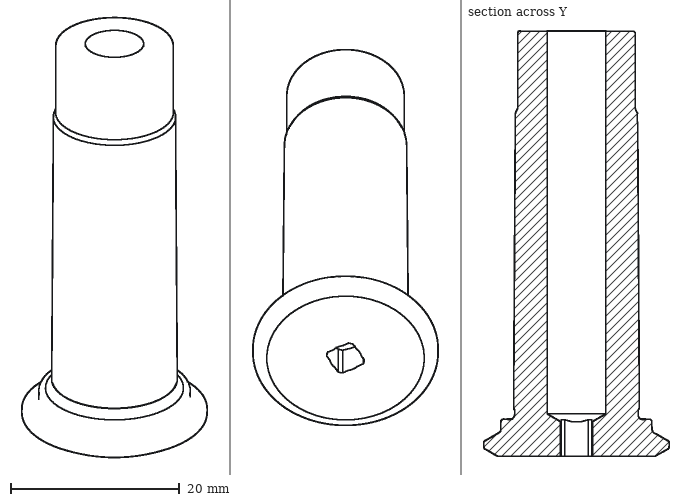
import cadquery as cq
import math

total_height = 50.5
cone_slope = math.tan(math.radians(30))

edge_tolerance = 0.0005

rim_radius = 22.0 / 2
rim_lower_round = 0.35
rim_upper_round = 0.2
band_bottom = 1.15
band_top = 1.65

collar_radius = 18.0 / 2
collar_top = 4.45
collar_round = 0.35
collar_foot_fillet = 0.35

neck_radius = 14.7 / 2
neck_top = 5.5
undercut_radius = 0.6
undercut_center_height = 5.0

sleeve_base_radius = 14.95 / 2
sleeve_base_top = 6.1
sleeve_end_radius = 14.55 / 2
shoulder_top = 41.3
shoulder_height = 0.6

spigot_radius = 14.0 / 2
spigot_round = 0.3

bore_radius = 6.9 / 2
bore_bottom = 5.05
square_width = 3.6
square_corner_diameter = 4.55
pilot_diameter = 3.8


def rounding_setback(radius):
    """Distance from a band corner to the tangent point when it is rounded (60 degree turn)."""
    return radius * math.tan(math.radians(30))


def make_body():
    """Revolve the sharp outer profile about Z."""
    lower_corner = band_bottom - rounding_setback(rim_lower_round)
    upper_corner = band_top + rounding_setback(rim_upper_round)
    foot_radius = rim_radius - lower_corner / cone_slope
    collar_bottom = upper_corner + (rim_radius - collar_radius) * cone_slope
    neck_step = sleeve_base_radius - neck_radius

    undercut_center_radius = neck_radius + undercut_radius
    undercut_drop = undercut_center_height - collar_top
    undercut_reach = math.sqrt(undercut_radius**2 - undercut_drop**2)
    undercut_edge = (undercut_center_radius + undercut_reach, collar_top)
    undercut_bottom = (undercut_center_radius, undercut_center_height - undercut_radius)

    body = (
        cq.Workplane("XZ")
        .lineTo(foot_radius, 0)
        .lineTo(rim_radius, lower_corner)
        .lineTo(rim_radius, upper_corner)
        .lineTo(collar_radius, collar_bottom)
        .lineTo(collar_radius, collar_top)
        .lineTo(*undercut_edge)
        .threePointArc(undercut_bottom, (neck_radius, undercut_center_height))
        .lineTo(neck_radius, neck_top)
        .lineTo(sleeve_base_radius, neck_top + neck_step)
        .lineTo(sleeve_base_radius, sleeve_base_top)
        .lineTo(sleeve_end_radius, shoulder_top - shoulder_height)
        .lineTo(spigot_radius, shoulder_top)
        .lineTo(spigot_radius, total_height)
        .lineTo(0, total_height)
        .close()
        .revolve(360, (0, 0, 0), (0, 1, 0))
    )

    roundings = [
        (rim_radius, lower_corner, rim_lower_round),
        (rim_radius, upper_corner, rim_upper_round),
        (collar_radius, collar_bottom, collar_foot_fillet),
        (collar_radius, collar_top, collar_round),
        (spigot_radius, total_height, spigot_round),
    ]
    for radius, height, rounding in roundings:
        body = round_circle(body, radius, height, rounding)
    return body


def round_circle(body, radius, height, rounding):
    """Fillet the circular edge of the given radius at the given height."""

    def is_wanted(edge):
        same_radius = abs(edge.radius() - radius) < edge_tolerance
        same_height = abs(edge.Center().z - height) < edge_tolerance
        return same_radius and same_height

    return body.edges("%CIRCLE").filter(is_wanted).fillet(rounding)


def make_bore():
    """Bore from the top, closed by a cone that runs down to a point."""
    outline = [
        (0, bore_bottom - bore_radius * cone_slope),
        (bore_radius, bore_bottom),
        (bore_radius, total_height),
        (0, total_height),
    ]
    return cq.Workplane("XZ").polyline(outline).close().revolve(360, (0, 0, 0), (0, 1, 0))


def make_square_hole():
    """Square hole through the foot: corners cut back to a circle, sides widened by the pilot hole."""
    base = cq.Workplane("XY")
    square = base.rect(square_width, square_width).extrude(bore_bottom)
    corner_limit = base.circle(square_corner_diameter / 2).extrude(bore_bottom)
    pilot = base.circle(pilot_diameter / 2).extrude(bore_bottom)
    return square.intersect(corner_limit).union(pilot)


result = make_body().cut(make_bore()).cut(make_square_hole())